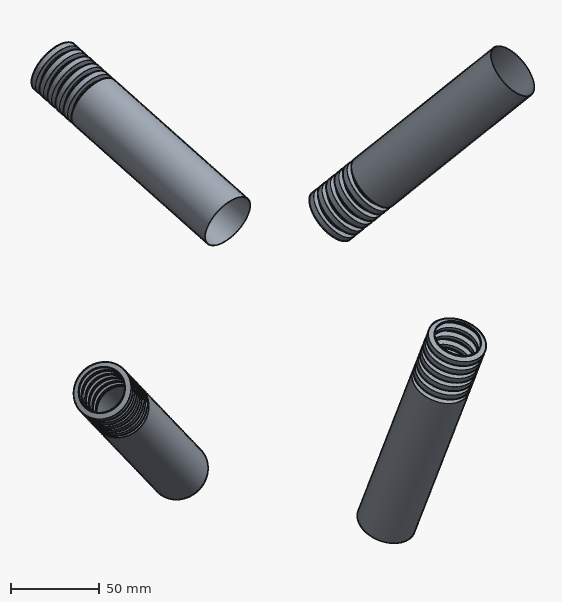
import cadquery as cq
import math

length = 150.0
outer_diameter = 34.5
groove_diameter = 27.8
wall = 0.38

ridge_count = 5
first_ridge_x = 0.9
tube_x = 35.1
ridge_foot_width = 4.8
flank_lean = 0.5

crest_radius = outer_diameter / 2
land_radius = groove_diameter / 2
pitch = (tube_x - first_ridge_x) / ridge_count

flank_rise = crest_radius - land_radius
flank_shift = wall * (math.hypot(flank_lean, flank_rise) - flank_lean) / flank_rise


def envelope(radial_inset, flank_inset):
    """Solid of revolution bounded by the bellows surface moved inwards by the insets."""
    land = land_radius - radial_inset
    crest = crest_radius - radial_inset
    outline = [(0, 0), (0, land)]
    for index in range(ridge_count):
        start = first_ridge_x + index * pitch + flank_inset
        end = start + ridge_foot_width - 2 * flank_inset
        outline += [(start, land), (start + flank_lean, crest)]
        outline += [(end - flank_lean, crest), (end, land)]
    tube_start = tube_x + flank_inset
    outline += [(tube_start, land), (tube_start + flank_lean, crest)]
    outline += [(length, crest), (length, 0)]
    profile = cq.Workplane("XY").polyline(outline).close()
    return profile.revolve(360, (0, 0, 0), (1, 0, 0))


outer_body = envelope(0, 0)
inner_space = envelope(wall, flank_shift)
result = outer_body.cut(inner_space)